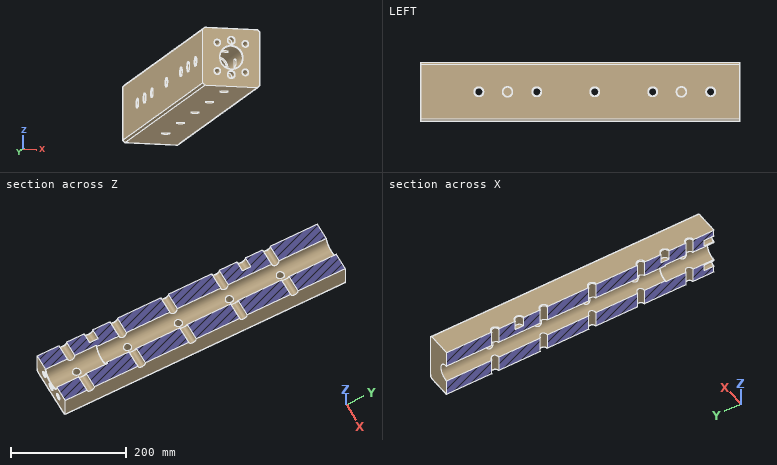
import cadquery as cq
import math

side = 102.0
length = 551.0
edge_chamfer = 4.0
half_side = side / 2
half_length = length / 2

bore_diameter = 35.0
recess_diameter = 40.0
recess_depth = 100.0
recess_mouth = 42.0

tapped_pitch = 50.0
tapped_core = 10.11
tapped_mouth = 12.0
tapped_depth = 30.0
tip_angle = 118.0
end_dowel_core = 12.0
end_dowel_mouth = 14.0
end_dowel_spacing = 60.0
end_dowel_depth = 20.0

row_centre = -25.0
row_pitch = 100.0
row_count = 5
cross_core = 14.0
cross_mouth = 17.0
side_dowel_core = 16.0
side_dowel_mouth = 18.0
side_dowel_centre = -24.5
side_dowel_spacing = 300.0
side_dowel_depth = 20.0


def make_bar():
    """Square bar with its four long edges chamfered."""
    bar = cq.Workplane("XY").box(side, length, side)
    return bar.edges("|Y").chamfer(edge_chamfer)


def drill(start, direction, diameter, depth):
    """Flat-ended cylinder running from start along direction."""
    return cq.Solid.makeCylinder(diameter / 2, depth, cq.Vector(*start), cq.Vector(*direction))


def cone(start, direction, start_diameter, end_diameter, depth):
    """Tapered cutter running from start along direction."""
    return cq.Solid.makeCone(
        start_diameter / 2, end_diameter / 2, depth, cq.Vector(*start), cq.Vector(*direction)
    )


def countersink(start, direction, mouth, core):
    """45 degree countersink narrowing from the mouth to the core diameter."""
    return cone(start, direction, mouth, core, (mouth - core) / 2)


def countersunk_hole(start, direction, core, mouth, depth):
    """Flat-ended hole with a countersunk mouth."""
    return drill(start, direction, core, depth).fuse(countersink(start, direction, mouth, core))


def cut_bore(body):
    """Through bore along Y and the recess at its front end."""
    front = (0, -half_length, 0)
    body = body.cut(drill(front, (0, 1, 0), bore_diameter, length))
    return body.cut(countersunk_hole(front, (0, 1, 0), recess_diameter, recess_mouth, recess_depth))


def cut_front_holes(body):
    """Four tapped holes and two dowel holes in the front face."""
    inward = (0, 1, 0)
    tip_length = tapped_core / 2 / math.tan(math.radians(tip_angle / 2))
    for x in (-tapped_pitch / 2, tapped_pitch / 2):
        for z in (-tapped_pitch / 2, tapped_pitch / 2):
            mouth = (x, -half_length, z)
            tip_start = (x, -half_length + tapped_depth, z)
            body = body.cut(countersunk_hole(mouth, inward, tapped_core, tapped_mouth, tapped_depth))
            body = body.cut(cone(tip_start, inward, tapped_core, 0, tip_length))
    for z in (-end_dowel_spacing / 2, end_dowel_spacing / 2):
        mouth = (0, -half_length, z)
        body = body.cut(countersunk_hole(mouth, inward, end_dowel_core, end_dowel_mouth, end_dowel_depth))
    return body


def cut_cross_row(body, face, inward):
    """Row of countersunk through holes and two dowel holes; face is the (x, z) of the row."""
    x, z = face
    for i in range(row_count):
        y = row_centre + (i - (row_count - 1) / 2) * row_pitch
        body = body.cut(countersunk_hole((x, y, z), inward, cross_core, cross_mouth, side))
    for offset in (-side_dowel_spacing / 2, side_dowel_spacing / 2):
        mouth = (x, side_dowel_centre + offset, z)
        body = body.cut(countersunk_hole(mouth, inward, side_dowel_core, side_dowel_mouth, side_dowel_depth))
    return body


body = make_bar()
body = cut_bore(body)
body = cut_front_holes(body)
body = cut_cross_row(body, (0, half_side), (0, 0, -1))
body = cut_cross_row(body, (-half_side, 0), (1, 0, 0))
result = body